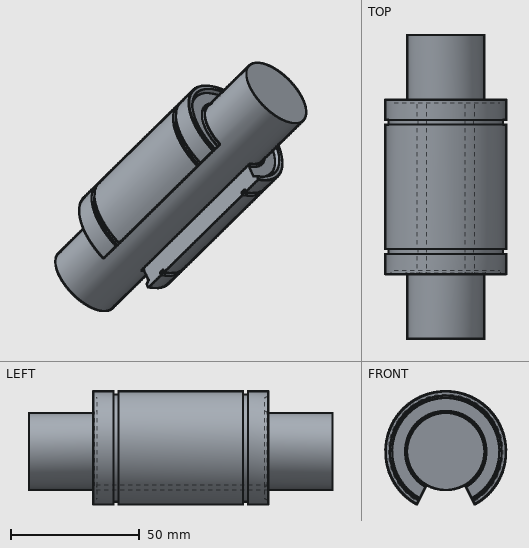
import cadquery as cq
import math

SHAFT_DIAMETER = 30.0
SHAFT_LENGTH = 118.0

SLEEVE_DIAMETER = 47.0
SLEEVE_LENGTH = 68.0
SLEEVE_CHAMFER = 0.2

GROOVE_DIAMETER = 44.5
GROOVE_WIDTH = 1.85
GROOVE_OUTER_SPAN = 52.1

RECESS_MOUTH_DIAMETER = 43.4
RECESS_FLOOR_DIAMETER = 41.6
RECESS_DEPTH = 1.5

LIP_ROOT_DIAMETER = 31.6
LIP_TIP_DIAMETER = 30.6
LIP_HEIGHT = 1.0

OPENING_ANGLE = 53.0
SLEEVE_HEIGHT = 44.13
OPENING_EDGE_DEPTH = SLEEVE_HEIGHT - SLEEVE_DIAMETER / 2


def cylinder(diameter, length, start_y):
    """Cylinder on the Y axis running from start_y towards +Y."""
    return (
        cq.Workplane("XZ", origin=(0, start_y, 0))
        .circle(diameter / 2)
        .extrude(-length)
    )


def centred_cylinder(diameter, length):
    """Cylinder on the Y axis, centred on the origin."""
    return cylinder(diameter, length, -length / 2)


def frustum(start_diameter, end_diameter, start_y, end_y):
    """Cone frustum on the Y axis between start_y and end_y."""
    profile = [
        (0, start_y),
        (start_diameter / 2, start_y),
        (end_diameter / 2, end_y),
        (0, end_y),
    ]
    return cq.Workplane("XY").polyline(profile).close().revolve(360, (0, 0, 0), (0, 1, 0))


def groove(start_y):
    """Ring of material to remove, from the groove floor out to the sleeve surface."""
    outer = cylinder(SLEEVE_DIAMETER, GROOVE_WIDTH, start_y)
    return outer.cut(cylinder(GROOVE_DIAMETER, GROOVE_WIDTH, start_y))


def front_recess():
    """Tapered recess in the -Y end face, with the seal lip left standing."""
    face_y = -SLEEVE_LENGTH / 2
    floor_y = face_y + RECESS_DEPTH
    lip_y = floor_y - LIP_HEIGHT
    mouth = frustum(RECESS_MOUTH_DIAMETER, RECESS_FLOOR_DIAMETER, face_y, floor_y)
    lip = frustum(LIP_TIP_DIAMETER, LIP_ROOT_DIAMETER, lip_y, floor_y)
    return mouth.cut(lip)


def opening():
    """Wedge whose flanks pass through the outer edges of the sleeve opening."""
    half_tangent = math.tan(math.radians(OPENING_ANGLE / 2))
    edge_x = math.sqrt((SLEEVE_DIAMETER / 2) ** 2 - OPENING_EDGE_DEPTH**2)
    apex_z = edge_x / half_tangent - OPENING_EDGE_DEPTH
    bottom_z = -SLEEVE_DIAMETER
    bottom_x = (apex_z - bottom_z) * half_tangent
    return (
        cq.Workplane("XZ")
        .polyline([(0, apex_z), (bottom_x, bottom_z), (-bottom_x, bottom_z)])
        .close()
        .extrude(SLEEVE_LENGTH / 2, both=True)
    )


def sleeve():
    """Chamfered sleeve with its grooves, end recesses and opening cut."""
    body = centred_cylinder(SLEEVE_DIAMETER, SLEEVE_LENGTH)
    body = body.edges("%CIRCLE").chamfer(SLEEVE_CHAMFER)
    body = body.cut(groove(-GROOVE_OUTER_SPAN / 2))
    body = body.cut(groove(GROOVE_OUTER_SPAN / 2 - GROOVE_WIDTH))
    recess = front_recess()
    body = body.cut(recess).cut(recess.mirror("XZ"))
    return body.cut(opening())


shaft = centred_cylinder(SHAFT_DIAMETER, SHAFT_LENGTH)
result = sleeve().union(shaft)